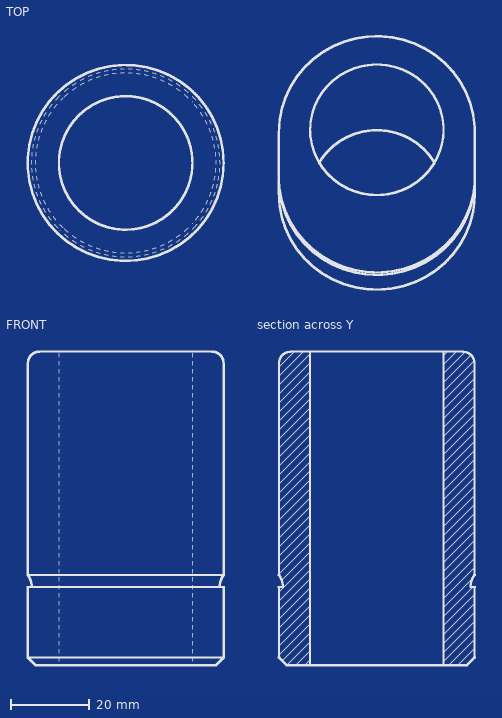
import cadquery as cq
import math

height = 80.0
outer_diameter = 50.0
bore_diameter = 34.0
top_fillet = 3.0
bottom_chamfer = 2.0

groove_diameter = 48.0
groove_bottom = 20.0
groove_height = 3.0

outer_radius = outer_diameter / 2
groove_radius = groove_diameter / 2
groove_depth = outer_radius - groove_radius
groove_top = groove_bottom + groove_height


def make_sleeve():
    """Tube with a rounded top rim and a chamfered bottom rim."""
    body = cq.Workplane("XY").circle(outer_radius).extrude(height)
    body = body.faces(">Z").edges().fillet(top_fillet)
    body = body.faces("<Z").edges().chamfer(bottom_chamfer)
    bore = cq.Workplane("XY").circle(bore_diameter / 2).extrude(height)
    return body.cut(bore)


def make_groove():
    """Ring of material to remove; its arc is vertical where it meets the shoulder."""
    arc_radius = (groove_height**2 + groove_depth**2) / (2 * groove_depth)
    half_angle = math.asin(groove_height / arc_radius) / 2
    arc_middle = (
        groove_radius + arc_radius * (1 - math.cos(half_angle)),
        groove_bottom + arc_radius * math.sin(half_angle),
    )
    clear_radius = outer_radius + groove_depth
    return (
        cq.Workplane("XZ")
        .moveTo(groove_radius, groove_bottom)
        .threePointArc(arc_middle, (outer_radius, groove_top))
        .lineTo(clear_radius, groove_top)
        .lineTo(clear_radius, groove_bottom)
        .close()
        .revolve(360, (0, 0, 0), (0, 1, 0))
    )


result = make_sleeve().cut(make_groove())